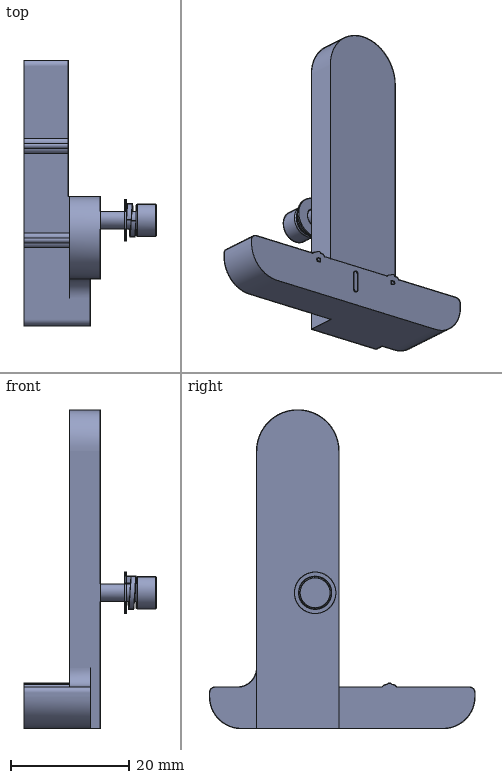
import cadquery as cq
import math

bar_length = 45.0
bar_height = 7.1
bar_depth = 7.55
bar_corner_depth = 11.3
bar_top_radius = 1.0
bar_bottom_radius = 5.4

plate_front = 7.7
plate_back = 12.95
plate_height = 54.0
plate_width = 14.0
plate_side = -0.55
plate_radius = plate_width / 2
plate_center = plate_side - plate_radius
plate_far_side = plate_side - plate_width
fillet_radius = 3.2

ridge_offset = 8.0
ridge_half_base = 1.25
ridge_height = 0.65
crest_share = 1 / 3
flank_chord = math.hypot(ridge_half_base, ridge_height) * (1 - crest_share)
flank_sagitta = flank_chord / 2 * math.tan(math.atan2(ridge_height, ridge_half_base) / 2)

mark_depth = 0.15
slot_width = 0.8
slot_length = 3.8
slot_center_z = 4.3
dee_width = 0.7
dee_height = 0.65
dee_center_z = 6.2

axis_y = -4.6
axis_z = 23.0
shank_radius = 1.5
head_radius = 2.75
head_start = 19.0
head_end = 22.5
head_chamfer = 0.2
bore_radius = 1.6

washer_start = 17.05
washer_thickness = 0.3
washer_radius = 3.5
washer_end = washer_start + washer_thickness

lock_radius = 2.8
lock_gap_angle = 5.0
lock_thickness = (head_start - washer_end) / 2
lock_turn = 1 - lock_gap_angle / 360


def on_plane_x(x):
    """Sketch plane facing +X at x, with local axes Y and Z."""
    return cq.Workplane("YZ", origin=(x, 0, 0))


def on_axis(x):
    """Sketch plane at x, centred on the screw axis."""
    return cq.Workplane("YZ", origin=(x, axis_y, axis_z))


def make_bar():
    bar = (
        on_plane_x(0)
        .center(0, bar_height / 2)
        .rect(bar_length, bar_height)
        .extrude(bar_corner_depth)
        .edges("|X and >Z")
        .fillet(bar_top_radius)
        .edges("|X and <Z")
        .fillet(bar_bottom_radius)
    )
    thinning = (
        cq.Workplane("XY", origin=(bar_depth, plate_side, 0))
        .box(bar_corner_depth - bar_depth, bar_length / 2 - plate_side, bar_height, centered=False)
    )
    return bar.cut(thinning)


def make_plate():
    spring_z = plate_height - plate_radius
    return (
        on_plane_x(plate_front)
        .moveTo(plate_side, 0)
        .lineTo(plate_side, spring_z)
        .threePointArc((plate_center, plate_height), (plate_far_side, spring_z))
        .lineTo(plate_far_side, 0)
        .close()
        .extrude(plate_back - plate_front)
    )


def make_corner_fillet():
    center_y = plate_far_side - fillet_radius
    center_z = bar_height + fillet_radius
    diagonal = fillet_radius * math.sqrt(0.5)
    return (
        on_plane_x(plate_front)
        .moveTo(plate_far_side, bar_height)
        .lineTo(plate_far_side, center_z)
        .threePointArc((center_y + diagonal, center_z - diagonal), (center_y, bar_height))
        .close()
        .extrude(bar_corner_depth - plate_front)
    )


def make_ridge(center_y, depth):
    """Ridge with concave flanks that run smoothly into a convex crest."""
    crest_half = ridge_half_base * crest_share
    crest_foot_z = bar_height + ridge_height * (1 - crest_share)
    crest_top_z = bar_height + ridge_height
    return (
        on_plane_x(0)
        .moveTo(center_y + ridge_half_base, bar_height)
        .lineTo(center_y - ridge_half_base, bar_height)
        .sagittaArc((center_y - crest_half, crest_foot_z), flank_sagitta)
        .threePointArc((center_y, crest_top_z), (center_y + crest_half, crest_foot_z))
        .sagittaArc((center_y + ridge_half_base, bar_height), flank_sagitta)
        .close()
        .extrude(depth)
    )


def make_slot_mark():
    return on_plane_x(0).center(0, slot_center_z).slot2D(slot_length, slot_width, 90).extrude(mark_depth)


def make_dee_mark(side):
    """D-shaped mark below a ridge, its round end pointing away from the middle of the bar."""
    flat_y = side * (ridge_offset - dee_width / 2)
    tip_y = side * (ridge_offset + dee_width / 2)
    shoulder_y = tip_y - side * dee_height / 2
    low_z = dee_center_z - dee_height / 2
    high_z = dee_center_z + dee_height / 2
    return (
        on_plane_x(0)
        .moveTo(flat_y, low_z)
        .lineTo(shoulder_y, low_z)
        .threePointArc((tip_y, dee_center_z), (shoulder_y, high_z))
        .lineTo(flat_y, high_z)
        .close()
        .extrude(mark_depth)
    )


def make_bracket():
    bracket = make_bar().union(make_plate()).union(make_corner_fillet())
    for side, depth in ((-1, plate_front), (1, bar_depth)):
        bracket = bracket.union(make_ridge(side * ridge_offset, depth))
        bracket = bracket.cut(make_dee_mark(side))
    return bracket.cut(make_slot_mark())


def make_screw():
    shank = on_axis(plate_back).circle(shank_radius).extrude(head_start - plate_back)
    head = on_axis(head_start).circle(head_radius).extrude(head_end - head_start)
    return shank.union(head.edges().chamfer(head_chamfer))


def make_flat_washer():
    return on_axis(washer_start).circle(washer_radius).circle(bore_radius).extrude(washer_thickness)


def make_lock_washer():
    """Split washer: a rectangular section swept along a left-handed, nearly full turn."""
    middle_radius = (lock_radius + bore_radius) / 2
    path = cq.Wire.makeHelix(
        lock_thickness, lock_thickness * lock_turn, middle_radius, lefthand=True
    )
    coil = (
        cq.Workplane("XZ", origin=(middle_radius, 0, lock_thickness / 2))
        .rect(lock_radius - bore_radius, lock_thickness)
        .sweep(cq.Workplane(path), isFrenet=True)
    )
    return (
        coil.rotate((0, 0, 0), (0, 0, 1), -lock_gap_angle / 2)
        .rotate((0, 0, 0), (0, 1, 0), 90)
        .rotate((0, 0, 0), (1, 0, 0), 180)
        .translate((washer_end, axis_y, axis_z))
    )


bracket = make_bracket()
screw = make_screw()
flat_washer = make_flat_washer()
lock_washer = make_lock_washer()

result = cq.Compound.makeCompound(
    [bracket.val(), screw.val(), flat_washer.val(), lock_washer.val()]
)